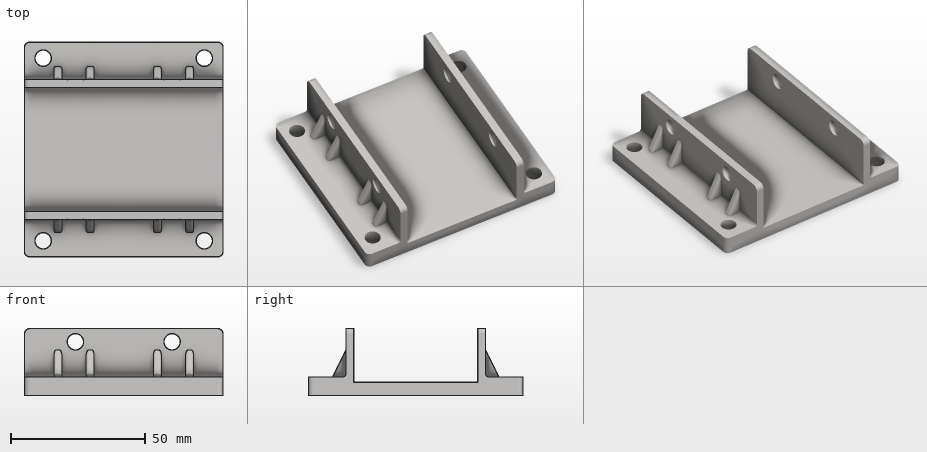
import cadquery as cq

length_x = 74.0
length_y = 80.0
floor_recess = 2.0
floor_height = 5.0
flange_height = floor_height + floor_recess
corner_radius = 2.0

total_height = 25.0
walls_outer_span = 52.0
walls_inner_gap = 46.0
wall_thickness = (walls_outer_span - walls_inner_gap) / 2
wall_outer_y = walls_outer_span / 2
root_radius = 1.0

hole_diameter = 6.0
mounting_hole_spacing_x = 60.0
mounting_hole_edge_distance = 6.0
mounting_hole_spacing_y = length_y - 2 * mounting_hole_edge_distance
wall_hole_spacing = 36.0
wall_hole_depth_from_top = 5.0

rib_width = wall_thickness
rib_height = 10.0
rib_reach = 5.0
rib_pitch = 12.0
rib_pair_spacing = 37.0
rib_edge_radius = 1.0


def make_base():
    """Mounting plate with rounded vertical corners and a hole in each corner."""
    return (
        cq.Workplane("XY")
        .box(length_x, length_y, flange_height, centered=(True, True, False))
        .edges("|Z")
        .fillet(corner_radius)
        .faces(">Z")
        .workplane()
        .rect(mounting_hole_spacing_x, mounting_hole_spacing_y, forConstruction=True)
        .vertices()
        .hole(hole_diameter)
    )


def make_walls():
    """Block with rounded top corners, spanning both walls before the channel is cut."""
    return (
        cq.Workplane("XY")
        .box(length_x, walls_outer_span, total_height, centered=(True, True, False))
        .edges("|Y and >Z")
        .fillet(corner_radius)
    )


def cut_channel(body):
    channel = (
        cq.Workplane("XY")
        .workplane(offset=floor_height)
        .box(length_x, walls_inner_gap, total_height, centered=(True, True, False))
    )
    return body.cut(channel)


def round_wall_roots(body):
    """Fillet the inside corners between the flanges and the outer wall faces."""
    for side in (-1, 1):
        root = cq.NearestToPointSelector((0, side * wall_outer_y, flange_height))
        body = body.edges(root).fillet(root_radius)
    return body


def cut_wall_holes(body):
    hole_height = total_height - wall_hole_depth_from_top
    drills = (
        cq.Workplane("XZ")
        .pushPoints([(side * wall_hole_spacing / 2, hole_height) for side in (-1, 1)])
        .circle(hole_diameter / 2)
        .extrude(walls_outer_span / 2, both=True)
    )
    return body.cut(drills)


def make_rib(center_x):
    """Rib on the -Y wall, with both edges of its sloping face rounded."""
    foot_y = -wall_outer_y - rib_reach
    slope_middle_y = -wall_outer_y - rib_reach / 2
    slope_middle_z = flange_height + rib_height / 2
    rib = (
        cq.Workplane("YZ")
        .moveTo(-wall_outer_y, flange_height)
        .lineTo(foot_y, flange_height)
        .lineTo(-wall_outer_y, flange_height + rib_height)
        .close()
        .extrude(rib_width / 2, both=True)
    )
    for side in (-1, 1):
        slope_edge = cq.NearestToPointSelector((side * rib_width / 2, slope_middle_y, slope_middle_z))
        rib = rib.edges(slope_edge).fillet(rib_edge_radius)
    return rib.translate((center_x, 0, 0))


def add_ribs(body):
    for pair_side in (-1, 1):
        for rib_side in (-1, 1):
            center_x = pair_side * rib_pair_spacing / 2 + rib_side * rib_pitch / 2
            rib = make_rib(center_x)
            body = body.union(rib).union(rib.mirror("XZ"))
    return body


result = make_base().union(make_walls())
result = cut_channel(result)
result = round_wall_roots(result)
result = cut_wall_holes(result)
result = add_ribs(result)